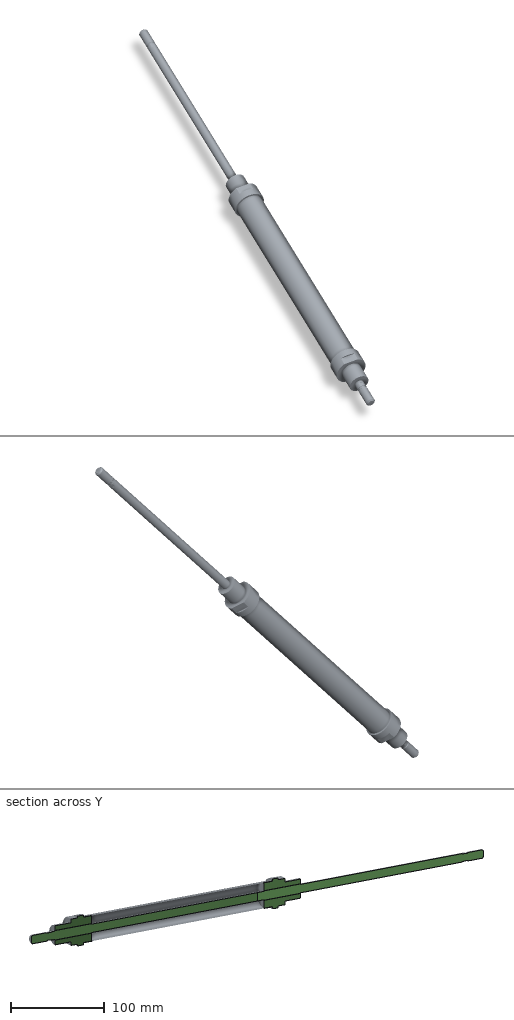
import cadquery as cq

overall_length = 569.5
stroke = 200.0

rod_diameter = 10.0
rod_length = overall_length / 2
retracted_rod_length = 30.0
extended_rod_length = retracted_rod_length + stroke
thread_length = 20.5
tip_chamfer = 1.5
groove_diameter = 8.6
groove_length = 2.0
rod_flat_width = 9.0
rod_flat_length = 4.5

cap_diameter = 34.0
cap_length = 16.3
cap_flat_width = 30.0
cap_flat_length = 8.6
nose_diameter = 22.0
nose_length = 19.8
spigot_length = 10.5

tube_diameter = 29.5
tube_wall = 0.75
tube_bore = tube_diameter - 2 * tube_wall

left_tube_x = -rod_length + extended_rod_length + nose_length + cap_length
right_tube_x = rod_length - retracted_rod_length - nose_length - cap_length


def cylinder(start_x, length, diameter):
    """A solid cylinder on the X axis."""
    return cq.Workplane("YZ", origin=(start_x, 0, 0)).circle(diameter / 2).extrude(length)


def cut_flats(body, start_x, length, diameter, flat_width):
    """Cut two wrench flats, facing +Z and -Z, into a round stretch of a body."""
    depth = (diameter - flat_width) / 2
    centre_x = start_x + length / 2
    centre_z = (flat_width + depth) / 2
    for side in (1, -1):
        slab = cq.Workplane("XY").box(length, diameter, depth)
        body = body.cut(slab.translate((centre_x, 0, side * centre_z)))
    return body


def make_tube():
    length = right_tube_x - left_tube_x
    tube = cylinder(left_tube_x, length, tube_diameter)
    return tube.cut(cylinder(left_tube_x, length, tube_bore))


def make_cap():
    """End cap with its nose pointing to +X; the shoulder against the tube is at X = 0."""
    cap = cylinder(0, cap_length, cap_diameter)
    flat_start = cap_length - cap_flat_length
    cap = cut_flats(cap, flat_start, cap_flat_length, cap_diameter, cap_flat_width)
    cap = cap.union(cylinder(cap_length, nose_length, nose_diameter))
    cap = cap.union(cylinder(-spigot_length, spigot_length, tube_bore))
    total_length = spigot_length + cap_length + nose_length
    return cap.cut(cylinder(-spigot_length, total_length, rod_diameter))


def make_rod():
    """Half of the piston rod with its threaded tip pointing to +X; the inner end is at X = 0."""
    thread_start = rod_length - thread_length
    groove_start = thread_start - groove_length
    shank = cylinder(0, groove_start, rod_diameter)
    shank = cut_flats(shank, groove_start - rod_flat_length, rod_flat_length, rod_diameter, rod_flat_width)
    groove = cylinder(groove_start, groove_length, groove_diameter)
    thread = cylinder(thread_start, thread_length, rod_diameter)
    thread = thread.faces(">X").chamfer(tip_chamfer)
    thread = thread.faces("<X").chamfer((rod_diameter - groove_diameter) / 2)
    return shank.union(groove).union(thread)


def facing_left(body):
    """Turn a body that points to +X so that it points to -X."""
    return body.rotate((0, 0, 0), (0, 0, 1), 180)


tube = make_tube()
caps = [
    facing_left(make_cap()).translate((left_tube_x, 0, 0)),
    make_cap().translate((right_tube_x, 0, 0)),
]
rods = [facing_left(make_rod()), make_rod()]

result = cq.Compound.makeCompound([body.val() for body in [tube, *caps, *rods]])